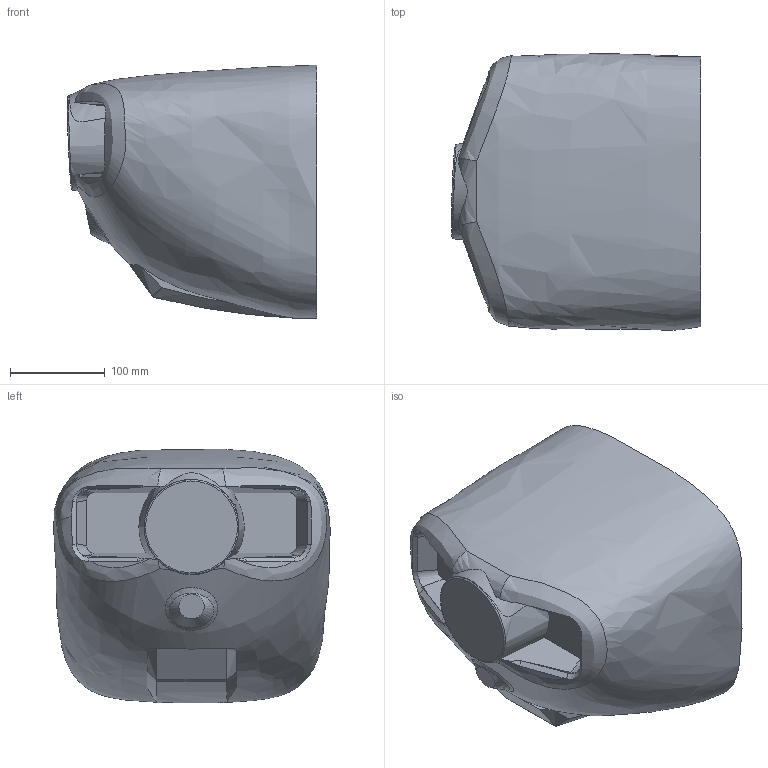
import math

import cadquery as cq

LENGTH = 263.45
HEIGHT = 268.4

SHELL_STATIONS = [
    (0, 142, 158, 195, 239, 2.9, 1.5),
    (28, 142.5, 105, 193, 248.5, 2.9, 1.65),
    (67, 143, 56, 190, 255.3, 2.8, 1.95),
    (125, 145.2, 27, 184, 260.5, 2.9, 2.6),
    (193, 144.9, 11, 180, 265.2, 3.0, 3.6),
    (LENGTH, 142.5, 1.5, 178, HEIGHT, 3.1, 4.6),
]
SECTION_POINTS = 24

FRONT_WALL_X = 7
FRONT_WALL_HALF_WIDTH = 36
CHEEK_X = 47
CHEEK_HALF_WIDTH = 148
CHEEK_RADIUS = 25
FRONT_EDGE_RADIUS = 26
FRONT_EDGE_LIMIT_X = 75

NOSE_Z = 186
NOSE_RADIUS = 50
NOSE_BASE_X = 65
NOSE_BASE_RADIUS = 56
NOSE_PITCH = 2.3
NOSE_YAW = 2.0
NOSE_EDGE_RADIUS = 1.5
CROWN_RADIUS = 48
CROWN_SETBACK = 2
CROWN_START_RADIUS = 49
CROWN_START_Z = 187.2
CROWN_MIDDLE = (25, 198.5)
CROWN_END = (67, 205)

WINDOW_FLOOR_X = 62
WINDOW_FLOOR_HALF_WIDTH = 111
WINDOW_FLOOR_Z = (158, 222)
WINDOW_FLOOR_CORNER = 8
WINDOW_MOUTH_HALF_WIDTH = 146
WINDOW_MOUTH_Z = (151, 230)
WINDOW_MOUTH_CORNER = 22

RIM_Y = (45, 123)
RIM_Z = (153.5, 227)
RIM_CORNER = 14
RIM_DEPTH = 5
RIM_REACH = 10
RIM_SLOPE = 0.8

BOSS_X = 22.4
BOSS_Z = 102
BOSS_RADIUS = 13.5
BOSS_PITCH = 12
BOSS_BASE_X = 40
BOSS_BASE_Z = 98
BOSS_BASE_RADIUS = 33
BOSS_BASE_PITCH = 36
BOSS_ROOT_RADIUS = 10

BLOCK_HALF_WIDTH = 37
BLOCK_TOP = (66, 57)
BLOCK_LIP = (90, 23)
BLOCK_MIDDLE = (165, 8)
BLOCK_LIP_RADIUS = 4
BLOCK_FLARE_WIDTH = 10
BLOCK_FLARE_INSET = 10


def shell_section(x, half_width, underside, waist, roof, roof_power, belly_power):
    """Closed section with different superellipse arcs above and below its widest point."""
    points = []
    for i in range(SECTION_POINTS):
        angle = 2 * math.pi * i / SECTION_POINTS
        across = math.cos(angle)
        up = math.sin(angle)
        power = roof_power if up >= 0 else belly_power
        rise = roof - waist if up >= 0 else waist - underside
        y = math.copysign(half_width * abs(across) ** (2 / power), across)
        z = waist + math.copysign(rise * abs(up) ** (2 / power), up)
        points.append(cq.Vector(x, y, z))
    return cq.Wire.assembleEdges([cq.Edge.makeSpline(points, periodic=True)])


def make_shell():
    sections = [shell_section(*station) for station in SHELL_STATIONS]
    return cq.Workplane(cq.Solid.makeLoft(sections))


def make_plan_envelope():
    """Plan outline of the body, extruded above the roof."""
    outline = [
        (FRONT_WALL_X, -FRONT_WALL_HALF_WIDTH),
        (CHEEK_X, -CHEEK_HALF_WIDTH),
        (LENGTH, -CHEEK_HALF_WIDTH),
        (LENGTH, CHEEK_HALF_WIDTH),
        (CHEEK_X, CHEEK_HALF_WIDTH),
        (FRONT_WALL_X, FRONT_WALL_HALF_WIDTH),
    ]
    prism = cq.Workplane("XY").polyline(outline).close().extrude(1.1 * HEIGHT)
    cheeks = cq.selectors.BoxSelector(
        (CHEEK_X - 1, -CHEEK_HALF_WIDTH - 1, 0),
        (CHEEK_X + 1, CHEEK_HALF_WIDTH + 1, HEIGHT),
    )
    return prism.edges("|Z").edges(cheeks).fillet(CHEEK_RADIUS)


def make_body():
    """Shell trimmed by the front wall, with the edge all round that wall rounded."""
    body = make_shell().intersect(make_plan_envelope())
    front_edges = [
        edge
        for edge in body.edges().vals()
        if edge.BoundingBox().xmax < FRONT_EDGE_LIMIT_X and edge.geomType() != "LINE"
    ]
    return body.newObject(front_edges).fillet(FRONT_EDGE_RADIUS)


def rounded_rectangle(width, height, corner):
    return cq.Sketch().rect(width, height).vertices().fillet(corner)


def make_window():
    """Recess narrowing from its mouth to a flat floor; the nose is added back in its middle."""
    floor_low, floor_high = WINDOW_FLOOR_Z
    mouth_low, mouth_high = WINDOW_MOUTH_Z
    floor_z = (floor_low + floor_high) / 2
    mouth_z = (mouth_low + mouth_high) / 2
    floor = rounded_rectangle(2 * WINDOW_FLOOR_HALF_WIDTH, floor_high - floor_low, WINDOW_FLOOR_CORNER)
    mouth = rounded_rectangle(2 * WINDOW_MOUTH_HALF_WIDTH, mouth_high - mouth_low, WINDOW_MOUTH_CORNER)
    mouth = mouth.moved(cq.Location(cq.Vector(0, mouth_z - floor_z, -WINDOW_FLOOR_X)))
    plane = cq.Plane(origin=(WINDOW_FLOOR_X, 0, floor_z), xDir=(0, 1, 0), normal=(1, 0, 0))
    return cq.Workplane(plane).placeSketch(floor, mouth).loft()


def make_window_rim():
    """Bevel cutter for the window rim on the +Y side."""
    wall_run = CHEEK_X - FRONT_WALL_X
    wall_rise = CHEEK_HALF_WIDTH - FRONT_WALL_HALF_WIDTH
    wall_angle = math.atan2(wall_run, wall_rise)
    middle_y = sum(RIM_Y) / 2
    middle_x = FRONT_WALL_X + (middle_y - FRONT_WALL_HALF_WIDTH) * wall_run / wall_rise
    plane = cq.Plane(
        origin=(middle_x, middle_y, sum(RIM_Z) / 2),
        xDir=(wall_run, wall_rise, 0),
        normal=(wall_rise, -wall_run, 0),
    )
    width = (RIM_Y[1] - RIM_Y[0]) / math.cos(wall_angle)
    height = RIM_Z[1] - RIM_Z[0]
    growth = RIM_SLOPE * (RIM_DEPTH + RIM_REACH)
    inner = rounded_rectangle(width, height, RIM_CORNER)
    outer = rounded_rectangle(width + 2 * growth, height + 2 * growth, RIM_CORNER + growth)
    inner = inner.moved(cq.Location(cq.Vector(0, 0, RIM_DEPTH)))
    outer = outer.moved(cq.Location(cq.Vector(0, 0, -RIM_REACH)))
    return cq.Workplane(plane).placeSketch(inner, outer).loft()


def circle_wire(radius, x, z, pitch=0, yaw=0):
    """Circle centred on Y = 0 facing along X, tipped back by pitch and turned sideways by yaw."""
    lean = math.tan(math.radians(pitch))
    turn = math.tan(math.radians(yaw))
    plane = cq.Plane(origin=(x, 0, z), xDir=(turn, 1, 0), normal=(1, -turn, lean))
    return cq.Workplane(plane).circle(radius).wires().val()


def make_nose():
    lean = math.tan(math.radians(NOSE_PITCH))
    turn = math.tan(math.radians(NOSE_YAW))
    disc_x = (NOSE_RADIUS - NOSE_EDGE_RADIUS) * math.sin(math.atan(math.hypot(lean, turn)))
    disc = circle_wire(NOSE_RADIUS, disc_x, NOSE_Z, NOSE_PITCH, NOSE_YAW)
    base = circle_wire(NOSE_BASE_RADIUS, NOSE_BASE_X, NOSE_Z)
    crown_start = circle_wire(
        CROWN_START_RADIUS, disc_x + CROWN_SETBACK, CROWN_START_Z, NOSE_PITCH, NOSE_YAW
    )
    crown_middle = circle_wire(CROWN_RADIUS, *CROWN_MIDDLE)
    crown_end = circle_wire(CROWN_RADIUS, *CROWN_END)
    cone = cq.Workplane(cq.Solid.makeLoft([disc, base], True))
    cone = cone.faces("<X").edges().fillet(NOSE_EDGE_RADIUS)
    crown = cq.Workplane(cq.Solid.makeLoft([crown_start, crown_middle, crown_end]))
    return cone.union(crown)


def add_boss(body):
    """Join the tilted conical boss to the chin and round its root."""
    face = circle_wire(BOSS_RADIUS, BOSS_X, BOSS_Z, BOSS_PITCH)
    base = circle_wire(BOSS_BASE_RADIUS, BOSS_BASE_X, BOSS_BASE_Z, BOSS_BASE_PITCH)
    boss = cq.Workplane(cq.Solid.makeLoft([face, base], True))
    root_zone = cq.selectors.BoxSelector(
        (BOSS_X - 10, -BOSS_BASE_RADIUS, BOSS_Z - BOSS_BASE_RADIUS),
        (BOSS_BASE_X + 15, BOSS_BASE_RADIUS, BOSS_Z + BOSS_BASE_RADIUS),
        boundingbox=True,
    )
    return body.union(boss).edges(root_zone).edges("%BSPLINE").fillet(BOSS_ROOT_RADIUS)


def block_profile(y, inset):
    """Side outline of the block at a given y, shrunk into the body by inset."""
    plane = cq.Plane(origin=(0, y, 0), xDir=(1, 0, 0), normal=(0, -1, 0))
    return (
        cq.Workplane(plane)
        .moveTo(BLOCK_TOP[0] + inset, BLOCK_TOP[1])
        .lineTo(BLOCK_LIP[0] + inset, BLOCK_LIP[1] + inset)
        .threePointArc((BLOCK_MIDDLE[0], BLOCK_MIDDLE[1] + inset), (LENGTH, inset))
        .lineTo(LENGTH, BLOCK_TOP[1])
        .close()
    )


def make_block():
    core = block_profile(BLOCK_HALF_WIDTH, 0).extrude(2 * BLOCK_HALF_WIDTH)
    edge_wire = block_profile(BLOCK_HALF_WIDTH, 0).wires().val()
    flare_wire = block_profile(BLOCK_HALF_WIDTH + BLOCK_FLARE_WIDTH, BLOCK_FLARE_INSET).wires().val()
    flare = cq.Workplane(cq.Solid.makeLoft([edge_wire, flare_wire], True))
    block = core.union(flare).union(flare.mirror("XZ"))
    side = BLOCK_HALF_WIDTH + BLOCK_FLARE_WIDTH + 1
    lip_x, lip_z = BLOCK_LIP
    lip_zone = cq.selectors.BoxSelector(
        (lip_x - 1, -side, lip_z - 1),
        (lip_x + BLOCK_FLARE_INSET + 1, side, lip_z + BLOCK_FLARE_INSET + 1),
        boundingbox=True,
    )
    return block.edges(lip_zone).fillet(BLOCK_LIP_RADIUS)


rim = make_window_rim()
window_cutters = [make_window().val(), rim.val(), rim.mirror("XZ").val()]
shell = make_body().val().cut(*window_cutters)
solid = shell.fuse(make_block().val(), make_nose().val())
result = add_boss(cq.Workplane(solid))